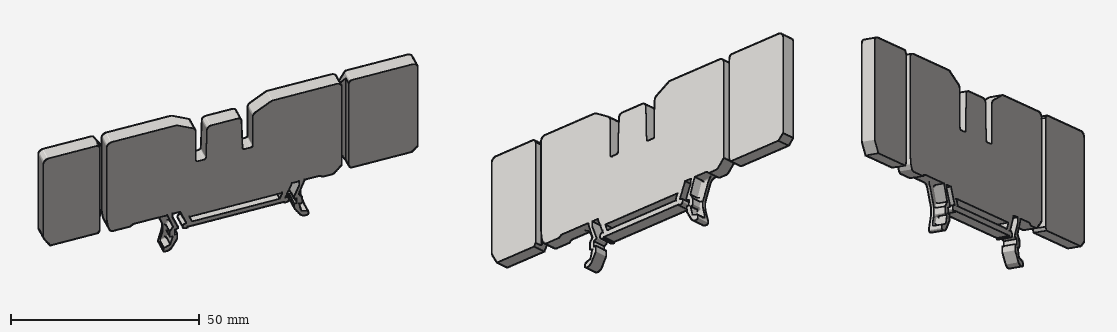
import cadquery as cq
import math


slope_run = math.tan(math.radians(30))

length = 105.9
thickness = 4.0
height = 44.9
plate_bottom = 13.0
corner_radius = 1.6
small_radius = 1.1
low_chamfer = 1.7
steep_chamfer_height = 3.3
steep_chamfer_width = steep_chamfer_height * slope_run
steep_chamfer_radius = 1.9

notch_depth = 4.2
notch_width = notch_depth * slope_run
notch_radius = 0.7
main_center = -1.8
main_half_length = 33.3
groove_width = 1.9
groove_root_web = 0.3
groove_edge_web = 1.9

slot_floor = 29.9
slot_outer = 8.0
tongue_half_width = 5.2
tongue_top_half_width = 4.9
tongue_top = 41.6
slot_radius = 0.6
tongue_radius = 1.3
ramp_run = 5.4
ramp_drop = ramp_run * slope_run

belly_bottom = 12.4
left_belly_wall_end = 14.9
left_belly_start = 29.0
left_belly_end = 25.9
right_belly_wall_end = 14.2
right_belly_start = -34.0
right_belly_end = -28.4
belly_wall_lean = 0.4
belly_step_run = 0.7
belly_radius = 1.3
step_radius = 0.5

seat_center = 1.5
seat_top_half_width = 15.9
seat_waist_half_width = 14.0
seat_waist = 8.4
pad_inner = 13.7
pad_outer = 15.0
pad_bottom = 6.6
seat_bottom = 6.9
pad_radius = 0.8
window_top = 10.4
window_bottom = 8.5
window_top_half_width = 13.1
window_bottom_half_width = 12.4

root_overlap = 1.1
root_inner = 17.9
root_outer = 21.8
root_radius = 1.7
root_shoulder = root_outer + 2.1
inner_bend = 11.5
hook_tip = 16.2
hook_height = 7.4
hook_radius = 0.3
nick_floor = 17.3
nick_top = 6.9
nick_bottom = 5.3
waist_outer = 19.5
waist_top = 6.9
waist_bottom = 4.9
flank_radius = 3.2
bend_radius = 0.5
toe_inner = 16.5
toe_inner_bottom = 3.6
toe_heel = 18.6
heel_radius = 1.9
toe_outer = 20.8
toe_radius = 0.6

web_thickness = 1.0
recess_fillet = 0.6
recess_outside = root_outer + 3.2
recess_top_inner = 19.4
valley_inner = 17.8
valley_height = 8.4
bump_outer = 18.7
bump_top = 6.9
bump_bottom = 4.8
bump_radius = 0.5
neck_inner = 17.9
ledge_inner = 18.5
ledge_top = 2.1
ledge_outer = 20.3
ledge_bottom = 1.5


def rounded_wire(corners):
    """Closed YZ outline on the -X face; each corner is (y, z, radius)."""
    pieces = []
    count = len(corners)
    for i, (y, z, radius) in enumerate(corners):
        corner = cq.Vector(y, z)
        to_previous = (cq.Vector(*corners[i - 1][:2]) - corner).normalized()
        to_next = (cq.Vector(*corners[(i + 1) % count][:2]) - corner).normalized()
        half_angle = to_previous.getAngle(to_next) / 2
        setback = radius / math.tan(half_angle)
        to_middle = radius / math.sin(half_angle) - radius
        bisector = (to_previous + to_next).normalized()
        pieces.append((corner + to_previous * setback, corner + bisector * to_middle,
                       corner + to_next * setback, radius))

    first = pieces[0][0]
    outline = cq.Workplane("YZ", origin=(-thickness / 2, 0, 0)).moveTo(first.x, first.y)
    for i, (start, middle, end, radius) in enumerate(pieces):
        if i > 0:
            outline = outline.lineTo(start.x, start.y)
        if radius > 0:
            outline = outline.threePointArc((middle.x, middle.y), (end.x, end.y))
    return outline.close()


def mirrored(points, center):
    """Complete a half outline, given as offsets toward +Y, on the -Y side."""
    plus_side = [(center + u, z, r) for u, z, r in points]
    minus_side = [(center - u, z, r) for u, z, r in reversed(points)]
    return plus_side + minus_side


def plate():
    """Main slab: two end tabs and a middle section with the slotted tongue."""
    end_plus = length / 2
    end_minus = -length / 2
    notch_plus = main_center + main_half_length
    notch_minus = main_center - main_half_length
    ramp_top = slot_outer + ramp_run
    upper_edge_half = [
        (main_half_length, height - notch_depth, 0),
        (main_half_length, height, corner_radius),
        (ramp_top, height, small_radius),
        (slot_outer, height - ramp_drop, corner_radius),
        (slot_outer, slot_floor, slot_radius),
        (tongue_half_width, slot_floor, slot_radius),
        (tongue_top_half_width, tongue_top, tongue_radius),
    ]
    corners = [
        (end_plus, plate_bottom + low_chamfer, 0),
        (end_plus, height, corner_radius),
        (notch_plus + notch_width, height, notch_radius),
    ]
    corners += mirrored(upper_edge_half, main_center)
    corners += [
        (notch_minus - notch_width, height, notch_radius),
        (end_minus, height, corner_radius),
        (end_minus, plate_bottom + steep_chamfer_height, steep_chamfer_radius),
        (end_minus + steep_chamfer_width, plate_bottom, 0),
        (notch_minus - notch_width, plate_bottom, 0),
        (notch_minus, plate_bottom + notch_depth, 0),
        (notch_minus + belly_wall_lean, right_belly_wall_end, small_radius),
        (right_belly_start, belly_bottom, belly_radius),
        (right_belly_end, belly_bottom, step_radius),
        (right_belly_end + belly_step_run, plate_bottom, step_radius),
        (left_belly_end - belly_step_run, plate_bottom, step_radius),
        (left_belly_end, belly_bottom, step_radius),
        (left_belly_start, belly_bottom, belly_radius),
        (notch_plus, left_belly_wall_end, 0),
        (notch_plus, plate_bottom + notch_depth, 0),
        (notch_plus + notch_width, plate_bottom, 0),
        (end_plus - low_chamfer, plate_bottom, 0),
    ]
    return rounded_wire(corners).extrude(thickness)


def rail_seat():
    """Tapered foot with rounded pads and a window above its lower bar."""
    half = [
        (seat_top_half_width, plate_bottom + root_overlap, 0),
        (seat_top_half_width, plate_bottom, corner_radius),
        (seat_waist_half_width, seat_waist, 0),
        (pad_outer, seat_waist, pad_radius),
        (pad_outer, pad_bottom, pad_radius),
        (pad_inner, pad_bottom, 0),
        (pad_inner, seat_bottom, 0),
    ]
    window_half = [
        (window_top_half_width, window_top, 0),
        (window_bottom_half_width, window_bottom, 0),
    ]
    seat = rounded_wire(mirrored(half, seat_center)).extrude(thickness)
    window = rounded_wire(mirrored(window_half, seat_center)).extrude(thickness)
    return seat.cut(window)


def on_side(points, side):
    """Turn offsets from the seat center into corners on the +Y (1) or -Y (-1) side."""
    return [(seat_center + side * u, z, r) for u, z, r in points]


def clip(side):
    """Spring clip beside the rail seat, thinned behind its outer flank."""
    profile = [
        (root_inner, plate_bottom + root_overlap, 0),
        (root_shoulder, plate_bottom + root_overlap, 0),
        (root_shoulder, plate_bottom, 0),
        (root_outer, plate_bottom, root_radius),
        (waist_outer, waist_top, bend_radius),
        (waist_outer, waist_bottom, flank_radius),
        (toe_outer, 0, toe_radius),
        (toe_heel, 0, heel_radius),
        (toe_inner, toe_inner_bottom, bend_radius),
        (toe_inner, nick_bottom, 0),
        (nick_floor, nick_bottom, 0),
        (nick_floor, nick_top, 0),
        (hook_tip, hook_height, hook_radius),
        (root_inner, inner_bend, bend_radius),
    ]
    recess_profile = [
        (recess_outside, plate_bottom, 0),
        (recess_top_inner, plate_bottom, 0),
        (valley_inner, valley_height, 0),
        (bump_outer, bump_top, 0),
        (bump_outer, bump_bottom, bump_radius),
        (neck_inner, bump_bottom, 0),
        (ledge_inner, ledge_top, 0),
        (ledge_outer, ledge_bottom, 0),
        (recess_outside, ledge_bottom, 0),
    ]
    body = rounded_wire(on_side(profile, side)).extrude(thickness)
    recess = rounded_wire(on_side(recess_profile, side)).extrude(thickness)
    recess = recess.faces("<X").edges().fillet(recess_fillet)
    return body.cut(recess.translate((web_thickness, 0, 0)))


def groove(side):
    """Full-height groove on the +X face, leaving a sloped web behind a notch."""
    root = main_center + side * main_half_length
    far = root + side * groove_width
    back = thickness / 2
    section = [
        (back, root),
        (-back + groove_root_web, root),
        (-back + groove_edge_web, far),
        (back, far),
    ]
    return cq.Workplane("XY").polyline(section).close().extrude(height)


result = plate().union(rail_seat())
for side in (1, -1):
    result = result.union(clip(side))
    result = result.cut(groove(side))